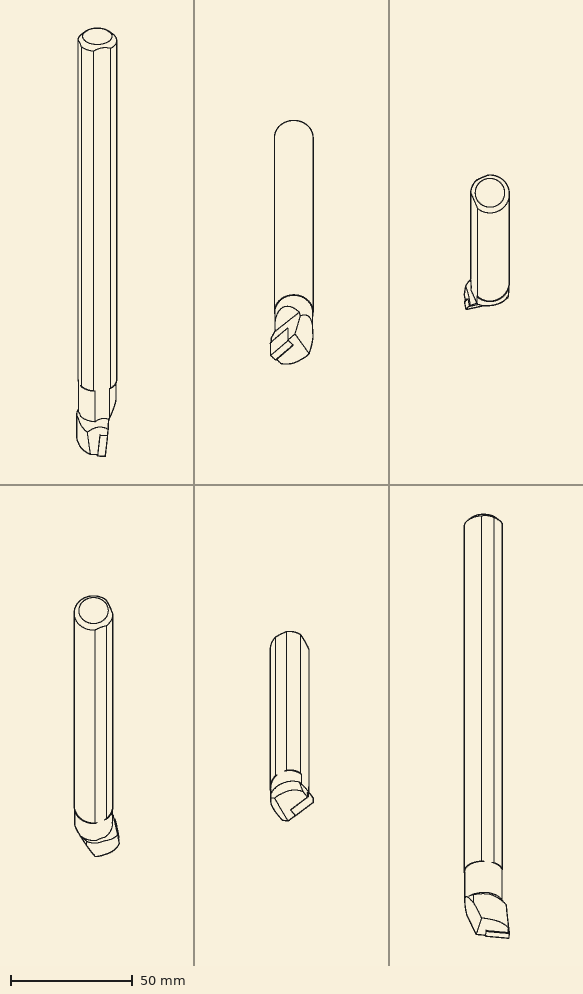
import cadquery as cq
import math

SHANK_RADIUS = 8.0
NECK_RADIUS = 7.75
SIDE_FLAT_X = 7.1
FRONT_FLAT_Y = -7.56
BAR_TOP_Z = 201.25
NECK_TOP_Z = 30.8
END_CHAMFER_WIDTH = 1.95
END_CHAMFER_HEIGHT = 2.1

HEAD_FRONT_Y = -8.47
HEAD_FLAT_START_X = 0.0
HEAD_FLAT_END_X = 2.4
HEAD_LEFT_RADIUS = 7.75
HEAD_RIGHT_RADIUS = 9.3
HEAD_CORNER_Y = -6.0
HEAD_CONE_APEX_Z = 27.2
HEAD_CONE_DROP = 1.5

RELIEF_TOP_Z = 16.9
RELIEF_ANGLE = 19.4

TIP_X = 10.9
TIP_Y = 0.3
TIP_Z = -0.04
RADIAL_RAKE = 11.3
AXIAL_RAKE = 6.3
LEAD_ANGLE = 5.0
INSERT_CIRCLE = 9.525
INSERT_CORNER_ANGLE = 80.0
INSERT_THICKNESS = 3.175
INSERT_NOSE_RADIUS = 0.4
INSERT_OVERHANG = 0.5

RAMP_START = 15.3
RAMP_ANGLE = 21.5

HEAD_BASE_Z = -5.0
FLANK_REACH = 60.0
CUT_REACH = 60.0

rake_normal = cq.Vector(
    math.tan(math.radians(RADIAL_RAKE)),
    1,
    -math.tan(math.radians(AXIAL_RAKE)),
)
rake_plane = cq.Plane(
    origin=(TIP_X, TIP_Y, TIP_Z),
    xDir=cq.Vector(0, 0, 1).cross(rake_normal),
    normal=rake_normal,
)


def rhombus(side, inset=0.0):
    """Rhombus in the rake plane, with its two edges at the tip moved inward by inset."""
    side_edge_angle = math.radians(LEAD_ANGLE + INSERT_CORNER_ANGLE)
    end_edge = cq.Vector(math.cos(math.radians(LEAD_ANGLE)), math.sin(math.radians(LEAD_ANGLE)))
    side_edge = cq.Vector(math.cos(side_edge_angle), math.sin(side_edge_angle))
    corner = (end_edge + side_edge) * (inset / math.sin(math.radians(INSERT_CORNER_ANGLE)))
    corners = [
        corner,
        corner + end_edge * side,
        corner + (end_edge + side_edge) * side,
        corner + side_edge * side,
    ]
    return cq.Workplane(rake_plane).polyline([(p.x, p.y) for p in corners]).close()


def make_bar():
    """Shank with a chamfered top end, neck below it, and the two long flats."""
    chamfer_base_z = BAR_TOP_Z - END_CHAMFER_HEIGHT
    half_section = [
        (0, HEAD_BASE_Z),
        (NECK_RADIUS, HEAD_BASE_Z),
        (NECK_RADIUS, NECK_TOP_Z),
        (SHANK_RADIUS, NECK_TOP_Z),
        (SHANK_RADIUS, chamfer_base_z),
        (SHANK_RADIUS - END_CHAMFER_WIDTH, BAR_TOP_Z),
        (0, BAR_TOP_Z),
    ]
    bar = cq.Workplane("XZ").polyline(half_section).close().revolve(360, (0, 0), (0, 1))
    within_flats = (
        cq.Workplane("XY", origin=(SIDE_FLAT_X, FRONT_FLAT_Y, HEAD_BASE_Z))
        .rect(-CUT_REACH, CUT_REACH, centered=False)
        .extrude(BAR_TOP_Z - HEAD_BASE_Z)
    )
    return bar.intersect(within_flats)


def make_head():
    """Head wall, capped by a cone around the bar's axis."""
    left_center_y = HEAD_FRONT_Y + HEAD_LEFT_RADIUS
    right_center_y = HEAD_FRONT_Y + HEAD_RIGHT_RADIUS
    corner_rise = HEAD_CORNER_Y - left_center_y
    corner_x = HEAD_FLAT_START_X - math.sqrt(HEAD_LEFT_RADIUS**2 - corner_rise**2)
    left_arc_middle = math.atan2(-corner_rise, HEAD_FLAT_START_X - corner_x) / 2 + math.pi / 4

    tangent_angle = math.atan2(HEAD_CORNER_Y, corner_x) - math.acos(
        NECK_RADIUS / math.hypot(corner_x, HEAD_CORNER_Y)
    )
    wall = (
        cq.Workplane("XY", origin=(0, 0, HEAD_BASE_Z))
        .moveTo(corner_x, HEAD_CORNER_Y)
        .threePointArc(
            (
                HEAD_FLAT_START_X - HEAD_LEFT_RADIUS * math.cos(left_arc_middle),
                left_center_y - HEAD_LEFT_RADIUS * math.sin(left_arc_middle),
            ),
            (HEAD_FLAT_START_X, HEAD_FRONT_Y),
        )
        .lineTo(HEAD_FLAT_END_X, HEAD_FRONT_Y)
        .threePointArc(
            (HEAD_FLAT_END_X + HEAD_RIGHT_RADIUS, right_center_y),
            (HEAD_FLAT_END_X, right_center_y + HEAD_RIGHT_RADIUS),
        )
        .lineTo(0, 0)
        .lineTo(NECK_RADIUS * math.cos(tangent_angle), NECK_RADIUS * math.sin(tangent_angle))
        .close()
        .extrude(HEAD_CONE_APEX_Z - HEAD_BASE_Z)
    )
    cone_height = HEAD_CONE_APEX_Z - HEAD_BASE_Z
    cone = (
        cq.Workplane("XZ")
        .polyline([
            (0, HEAD_BASE_Z),
            (cone_height / HEAD_CONE_DROP, HEAD_BASE_Z),
            (0, HEAD_CONE_APEX_Z),
        ])
        .close()
        .revolve(360, (0, 0), (0, 1))
    )
    return wall.intersect(cone)


def trim_to_flanks(body):
    """Cut the end and side flanks, set back from the insert's edges."""
    within_flanks = rhombus(FLANK_REACH, INSERT_OVERHANG).extrude(CUT_REACH, both=True)
    above_head = (
        cq.Workplane("XY", origin=(0, 0, RELIEF_TOP_Z))
        .rect(CUT_REACH, CUT_REACH)
        .extrude(BAR_TOP_Z)
    )
    return body.intersect(within_flanks.union(above_head))


def cut_relief(body):
    """Slope the -X side of the head in toward its end."""
    depth = RELIEF_TOP_Z - HEAD_BASE_Z
    slope_end_x = -NECK_RADIUS + depth * math.tan(math.radians(RELIEF_ANGLE))
    wedge = (
        cq.Workplane("XZ")
        .polyline([
            (-NECK_RADIUS, RELIEF_TOP_Z),
            (slope_end_x, HEAD_BASE_Z),
            (-CUT_REACH, HEAD_BASE_Z),
            (-CUT_REACH, RELIEF_TOP_Z),
        ])
        .close()
        .extrude(CUT_REACH, both=True)
    )
    return body.cut(wedge)


def cut_chip_pocket(body):
    """Clear everything above the rake face and the ramp behind it."""
    ramp_rise = CUT_REACH * math.tan(math.radians(RAMP_ANGLE))
    section_plane = cq.Plane(
        origin=rake_plane.toWorldCoords((-CUT_REACH, RAMP_START, 0)),
        xDir=rake_plane.yDir,
        normal=rake_plane.xDir,
    )
    cleared = (
        cq.Workplane(section_plane)
        .polyline([
            (-CUT_REACH, 0),
            (0, 0),
            (CUT_REACH, ramp_rise),
            (-CUT_REACH, ramp_rise),
        ])
        .close()
        .extrude(2 * CUT_REACH)
    )
    return body.cut(cleared)


def make_insert():
    """Rounded rhombic plate, its top face in the rake plane."""
    side = INSERT_CIRCLE / math.sin(math.radians(INSERT_CORNER_ANGLE))
    plate = rhombus(side).extrude(-INSERT_THICKNESS)
    upright_edges = cq.selectors.ParallelDirSelector(rake_normal)
    return plate.edges(upright_edges).fillet(INSERT_NOSE_RADIUS)


insert = make_insert()

holder = make_bar().union(make_head())
holder = trim_to_flanks(holder)
holder = cut_relief(holder)
holder = cut_chip_pocket(holder)
holder = holder.cut(insert)

result = cq.Compound.makeCompound([holder.solids().val(), insert.val()])